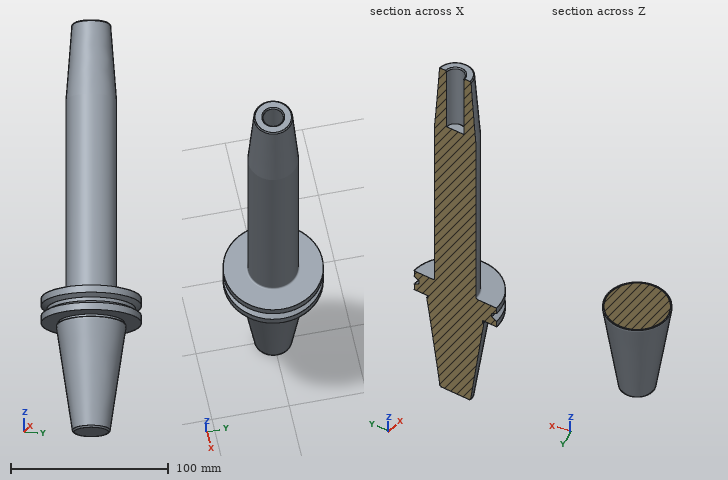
import cadquery as cq

total_height = 268.5
flange_radius = 31.8

taper_height = 70.0
taper_rim_height = 1.5
taper_large_radius = 22.0
taper_slope = 7 / 48
taper_small_radius = taper_large_radius - taper_slope * (taper_height - taper_rim_height)
taper_end_chamfer = 1.0
neck_radius = 21.2
neck_height = 1.5

flange_bottom = taper_height + neck_height
flange_height = 16.0
flange_top = flange_bottom + flange_height
groove_radius = 28.2
groove_floor_width = 2.5
groove_flank_height = 2.1
groove_middle = flange_bottom + flange_height / 2

shank_radius = 16.0
shank_root_fillet = 1.0
nose_height = 50.2
nose_top_radius = 12.3
nose_chamfer = 0.8

bore_radius = 6.5
bore_depth = 47.0
bore_chamfer = 0.8


def make_taper():
    """Machine taper with a short cylindrical rim and a neck below the flange."""
    rim_bottom = taper_height - taper_rim_height
    return (
        cq.Workplane("XZ")
        .lineTo(taper_small_radius - taper_end_chamfer, 0)
        .lineTo(taper_small_radius, taper_end_chamfer)
        .lineTo(taper_large_radius, rim_bottom)
        .lineTo(taper_large_radius, taper_height)
        .lineTo(neck_radius, taper_height)
        .lineTo(neck_radius, flange_bottom)
        .lineTo(0, flange_bottom)
        .close()
        .revolve(360, (0, 0), (0, 1))
    )


def make_flange():
    """Disc with a flat-floored V-groove around its edge."""
    half_floor = groove_floor_width / 2
    half_mouth = half_floor + groove_flank_height
    return (
        cq.Workplane("XZ")
        .moveTo(0, flange_bottom)
        .lineTo(flange_radius, flange_bottom)
        .lineTo(flange_radius, groove_middle - half_mouth)
        .lineTo(groove_radius, groove_middle - half_floor)
        .lineTo(groove_radius, groove_middle + half_floor)
        .lineTo(flange_radius, groove_middle + half_mouth)
        .lineTo(flange_radius, flange_top)
        .lineTo(0, flange_top)
        .close()
        .revolve(360, (0, 0), (0, 1))
    )


def make_shank():
    """Cylindrical shank with a root fillet and a chamfered conical nose."""
    nose_bottom = total_height - nose_height
    return (
        cq.Workplane("XZ")
        .moveTo(0, flange_top)
        .lineTo(shank_radius + shank_root_fillet, flange_top)
        .radiusArc((shank_radius, flange_top + shank_root_fillet), shank_root_fillet)
        .lineTo(shank_radius, nose_bottom)
        .lineTo(nose_top_radius, total_height - nose_chamfer)
        .lineTo(nose_top_radius - nose_chamfer, total_height)
        .lineTo(0, total_height)
        .close()
        .revolve(360, (0, 0), (0, 1))
    )


def make_bore():
    """Flat-bottomed blind bore with a chamfered mouth."""
    return (
        cq.Workplane("XZ")
        .moveTo(0, total_height)
        .lineTo(bore_radius + bore_chamfer, total_height)
        .lineTo(bore_radius, total_height - bore_chamfer)
        .lineTo(bore_radius, total_height - bore_depth)
        .lineTo(0, total_height - bore_depth)
        .close()
        .revolve(360, (0, 0), (0, 1))
    )


result = make_taper().union(make_flange()).union(make_shank()).cut(make_bore())